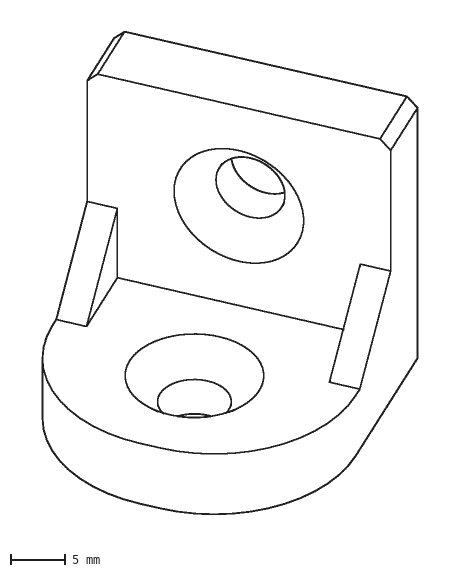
import cadquery as cq

size = 30.0
thickness = 7.0
corner_radius = 14.0
top_chamfer = 1.05
rib_width = 3.0
rib_leg = 8.0
hole_diameter = 6.8
countersink_diameter = 12.8
countersink_angle = 90
hole_inset = 11.5

half = size / 2
wall_front = half - thickness


def base_plate():
    """Horizontal plate with two large rounded front corners."""
    plate = cq.Workplane("XY").box(size, size, thickness, centered=(True, True, False))
    return plate.edges("|Z and <Y").fillet(corner_radius)


def wall_plate():
    """Upright plate with chamfered top corners."""
    plate = (
        cq.Workplane("XY")
        .box(size, thickness, size, centered=(True, False, False))
        .translate((0, wall_front, 0))
    )
    return plate.edges("|Y and >Z").chamfer(top_chamfer)


def rib(x_start):
    """Triangular gusset in the inner corner, starting at x_start."""
    return (
        cq.Workplane("YZ", origin=(x_start, wall_front, thickness))
        .polyline([(0, 0), (-rib_leg, 0), (0, rib_leg)])
        .close()
        .extrude(rib_width)
    )


bracket = base_plate().union(wall_plate())
for x_start in (-half, half - rib_width):
    bracket = bracket.union(rib(x_start))

bracket = (
    bracket.copyWorkplane(cq.Workplane("XY", origin=(0, hole_inset - half, thickness)))
    .cskHole(hole_diameter, countersink_diameter, countersink_angle, depth=thickness)
)

result = (
    bracket.copyWorkplane(cq.Workplane("XZ", origin=(0, wall_front, size - hole_inset)))
    .cskHole(hole_diameter, countersink_diameter, countersink_angle, depth=thickness)
)